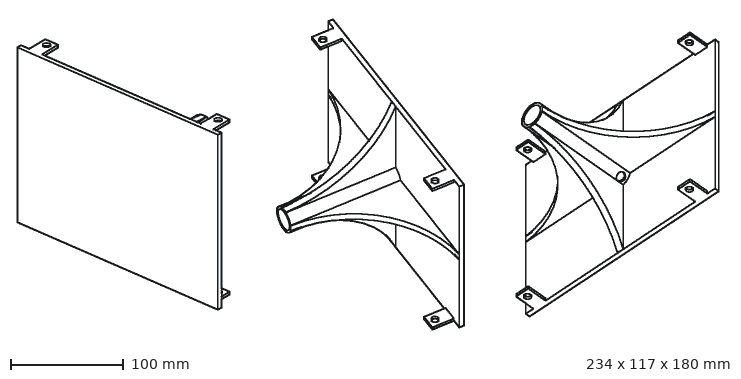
import cadquery as cq
import math

plate_width = 234.0
plate_height = 180.0
plate_thickness = 5.0

post_length = 112.0
post_diameter = 25.2
post_wall = 2.5
bore_diameter = post_diameter - 2 * post_wall
post_radius = post_diameter / 2

rib_thickness = 7.0

cross_hole_diameter = 9.0
cross_hole_distance = 7.0
cross_hole_tilt = 38.0

tab_width = 15.0
tab_length = 22.0
tab_thickness = 3.0
tab_spacing = 200.0
tab_hole_diameter = 7.0
tab_hole_distance = 15.0


def make_plate():
    plate = cq.Workplane("XY").box(plate_width, plate_thickness, plate_height)
    return plate.translate((0, -plate_thickness / 2, 0))


def cylinder_along_y(diameter, length):
    """Cylinder on the Y axis, from the rear face of the plate towards +Y."""
    return cq.Workplane("XZ").circle(diameter / 2).extrude(-length)


def make_rib_pair(reach):
    """Two opposite ribs in the XY plane, sweeping from the post tip to X = +/-reach at the plate.

    Each edge is one arc, tangent to the post wall at the tip.
    """
    run = reach - post_radius
    arc_radius = (run**2 + post_length**2) / (2 * run)
    arc_centre_x = post_radius + arc_radius
    half_sweep = math.asin(post_length / arc_radius) / 2
    mid_x = arc_centre_x - arc_radius * math.cos(half_sweep)
    mid_y = post_length - arc_radius * math.sin(half_sweep)
    return (
        cq.Workplane("XY")
        .moveTo(-reach, 0)
        .lineTo(reach, 0)
        .threePointArc((mid_x, mid_y), (post_radius, post_length))
        .lineTo(-post_radius, post_length)
        .threePointArc((-mid_x, mid_y), (-reach, 0))
        .close()
        .extrude(rib_thickness / 2, both=True)
    )


def make_cross_hole():
    drill = cq.Workplane("XY").circle(cross_hole_diameter / 2).extrude(post_diameter, both=True)
    drill = drill.rotate((0, 0, 0), (0, 1, 0), cross_hole_tilt)
    return drill.translate((0, cross_hole_distance, 0))


def make_tab():
    """Tab with its root on Y = 0, centred on X = 0, and its lower face on Z = 0."""
    blank = cq.Workplane("XY").rect(tab_width, tab_length).extrude(tab_thickness)
    blank = blank.translate((0, tab_length / 2, 0))
    hole = cq.Workplane("XY").circle(tab_hole_diameter / 2).extrude(tab_thickness)
    return blank.cut(hole.translate((0, tab_hole_distance, 0)))


side_ribs = make_rib_pair(plate_width / 2)
upright_ribs = make_rib_pair(plate_height / 2).rotate((0, 0, 0), (0, 1, 0), 90)
post = cylinder_along_y(post_diameter, post_length).union(side_ribs).union(upright_ribs)
post = post.cut(cylinder_along_y(bore_diameter, post_length)).cut(make_cross_hole())

result = make_plate().union(post)

for tab_x in (-tab_spacing / 2, tab_spacing / 2):
    for tab_bottom in (-plate_height / 2, plate_height / 2 - tab_thickness):
        result = result.union(make_tab().translate((tab_x, 0, tab_bottom)))